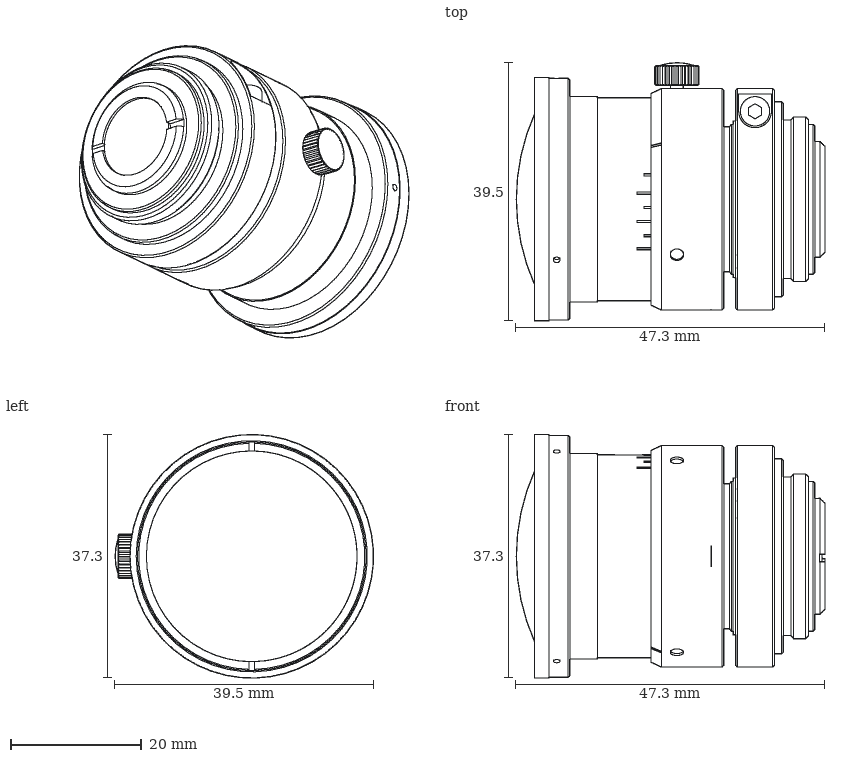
import cadquery as cq
import math

rim_x = 2.8
lens_edge_x = 9.2
rim_step_x = 5.0
flange_end_x = 8.25
barrel_step_x = 12.45
body_x = 20.6
body_cone_end_x = 22.2
body_end_x = 31.75
neck_cone_x = 32.6
collar_x = 33.2
clamp_x = 33.55
clamp_end_x = 39.53
hub_end_x = 40.9
thread_x = 42.05
thread_end_x = 44.75
pilot_end_x = 45.7
length = 47.3

rim_d = 37.3
rim_r = rim_d / 2
flange_r = 18.55
front_barrel_r = 15.75
rear_barrel_r = 15.55
body_front_r = 16.2
body_r = 16.95
neck_r = 11.1
shoulder_r = 23.0 / 2
collar_r = 12.0
hub_r = 14.95
relief_r = 12.15
thread_r = 12.62
pilot_r = 11.5
tail_r = 17.8 / 2
tail_bore_r = 12.5 / 2

edge = 0.3
thread_edge = 0.43
tail_chamfer = 0.8

lens_r = 16.1
ring_outer_r = 17.3
rim_bore_r = 17.5
rim_bevel = 0.2
ring_face_x = rim_x + rim_bevel
ring_cone_end_x = 3.8
front_notch_width = 0.85
ball_r = 32.0

tail_bore_depth = 0.45
tail_slot_width = 1.2
tail_slot_depth = 0.9
tail_slot_angle = 2.0

hole_angles = (60, 180, 300)
knob_angle = 180
small_hole_x = 6.2
small_hole_d = 1.0
small_hole_depth = 0.95
screw_hole_x = 24.6
screw_hole_d = 2.05
screw_hole_depth = 0.4

knob_d = 6.8
knob_base_y = 17.45
knob_shoulder_y = 20.45
overall_width = 39.55
knob_top_y = overall_width - rim_r
knob_dome_r = 2.7
knob_edge = 0.2
stem_d = 2.0
tooth_count = 36
tooth_depth = 0.25

clamp_screw_x = (clamp_x + clamp_end_x) / 2
clamp_screw_y = 13.47
pocket_floor_z = 5.3
pocket_width = 5.0
screw_head_d = 4.5
screw_head_height = 2.5
screw_head_round = 0.43
hex_flats = 2.0
hex_depth = 1.2

recess_d = 4.5
recess_r = 13.45
recess_angle = 37
recess_depth = 2.85

mark_width = 0.35
mark_depth = 0.1
long_mark_angles = (3.5, -12.6, -29.2)
short_mark_angles = (14.0, -4.6, -21.0)
long_mark_x = 18.5
short_mark_x = 19.57
index_angles = (30, 210)

side_mark_x = 29.85
side_mark_width = 0.1
side_mark_depth = 0.07


def lens_sag(radius):
    """Depth of the spherical lens surface below its tip."""
    return ball_r - math.sqrt(ball_r**2 - radius**2)


def make_barrel():
    """All turned surfaces, as one profile revolved about X."""
    half_r = lens_r / 2
    profile = (
        cq.Workplane("XY")
        .moveTo(0, 0)
        .threePointArc((lens_sag(half_r), half_r), (lens_sag(lens_r), lens_r))
        .lineTo(ring_cone_end_x, lens_r)
        .lineTo(ring_face_x, ring_outer_r)
        .lineTo(ring_face_x, rim_bore_r)
        .lineTo(rim_x, rim_bore_r + rim_bevel)
        .lineTo(rim_x, rim_r)
        .lineTo(rim_step_x, rim_r)
        .lineTo(rim_step_x, flange_r)
        .lineTo(flange_end_x - edge, flange_r)
        .lineTo(flange_end_x, flange_r - edge)
        .lineTo(flange_end_x, front_barrel_r)
        .lineTo(barrel_step_x, front_barrel_r)
        .lineTo(barrel_step_x, rear_barrel_r)
        .lineTo(body_x, rear_barrel_r)
        .lineTo(body_x, body_front_r)
        .lineTo(body_cone_end_x, body_r)
        .lineTo(body_end_x - edge, body_r)
        .lineTo(body_end_x, body_r - edge)
        .lineTo(body_end_x, neck_r)
        .lineTo(neck_cone_x, neck_r)
        .lineTo(neck_cone_x + edge, shoulder_r)
        .lineTo(collar_x, shoulder_r)
        .lineTo(collar_x, collar_r)
        .lineTo(clamp_x, collar_r)
        .lineTo(clamp_x, body_r - edge)
        .lineTo(clamp_x + edge, body_r)
        .lineTo(clamp_end_x - edge, body_r)
        .lineTo(clamp_end_x, body_r - edge)
        .lineTo(clamp_end_x, hub_r)
        .lineTo(hub_end_x - edge, hub_r)
        .lineTo(hub_end_x, hub_r - edge)
        .lineTo(hub_end_x, relief_r)
        .lineTo(thread_x, relief_r)
        .lineTo(thread_x + thread_edge, thread_r)
        .lineTo(thread_end_x - thread_edge, thread_r)
        .lineTo(thread_end_x, thread_r - thread_edge)
        .lineTo(thread_end_x, pilot_r)
        .lineTo(pilot_end_x - edge, pilot_r)
        .lineTo(pilot_end_x, pilot_r - edge)
        .lineTo(pilot_end_x, tail_r)
        .lineTo(length - tail_chamfer, tail_r)
        .lineTo(length, tail_r - tail_chamfer)
        .lineTo(length, tail_bore_r)
        .lineTo(length - tail_bore_depth, tail_bore_r)
        .lineTo(length - tail_bore_depth, 0)
        .close()
    )
    return profile.revolve(360, (0, 0, 0), (1, 0, 0))


def about_axis(shape, angle):
    return shape.rotate((0, 0, 0), (1, 0, 0), angle)


def front_notches():
    """Pair of spanner notches, top and bottom, in the front retaining ring."""
    depth = ring_cone_end_x - ring_face_x
    height = rim_bore_r - lens_r
    notch = cq.Workplane("XY").box(depth, front_notch_width, height, centered=(False, True, False))
    notch = notch.translate((ring_face_x, 0, lens_r))
    return notch.union(about_axis(notch, 180))


def tail_slots():
    """Spanner slots across the rear retaining ring, outside its bore."""
    slot = cq.Workplane("XY").box(
        tail_slot_depth, 2 * tail_r, tail_slot_width, centered=(False, True, True)
    )
    core = cq.Workplane("YZ").circle(tail_bore_r).extrude(tail_slot_depth)
    slots = slot.cut(core).translate((length - tail_slot_depth, 0, 0))
    return about_axis(slots, tail_slot_angle)


def radial_hole(x, diameter, depth, surface_r, angle):
    """Blind hole drilled inwards to the given depth below the surface."""
    drill = (
        cq.Workplane("XZ", origin=(x, 0, 0))
        .workplane(offset=surface_r - depth)
        .circle(diameter / 2)
        .extrude(2 * depth)
    )
    return about_axis(drill, -angle)


def make_knob():
    """Knurled thumb screw with a domed top and a stem running into the body."""
    knob_r = knob_d / 2
    outline = (
        cq.Workplane("XY")
        .moveTo(0, body_r - screw_hole_depth)
        .lineTo(stem_d / 2, body_r - screw_hole_depth)
        .lineTo(stem_d / 2, knob_base_y)
        .lineTo(knob_r - knob_edge, knob_base_y)
        .lineTo(knob_r, knob_base_y + knob_edge)
        .lineTo(knob_r, knob_shoulder_y - knob_edge)
        .lineTo(knob_r - knob_edge, knob_shoulder_y)
        .lineTo(knob_dome_r, knob_shoulder_y)
    )
    dome_height = knob_top_y - knob_shoulder_y
    dome_ball_r = (knob_dome_r**2 + dome_height**2) / (2 * dome_height)
    mid_r = knob_dome_r / 2
    mid_y = knob_top_y - dome_ball_r + math.sqrt(dome_ball_r**2 - mid_r**2)
    outline = outline.threePointArc((mid_r, mid_y), (0, knob_top_y)).close()
    knob = outline.revolve(360, (0, 0, 0), (0, 1, 0))
    half_pitch = math.pi / tooth_count
    tooth_points = []
    for step in range(2 * tooth_count):
        radius = knob_r - tooth_depth * (step % 2)
        angle = step * half_pitch
        tooth_points.append((radius * math.cos(angle), radius * math.sin(angle)))
    toothed_bar = (
        cq.Workplane("XZ", origin=(0, knob_top_y, 0))
        .polyline(tooth_points)
        .close()
        .extrude(knob_top_y)
    )
    return knob.intersect(toothed_bar).translate((screw_hole_x, 0, 0))


def clamp_pocket():
    """Flat-floored pocket, round around the screw and open towards +Y."""
    base = cq.Workplane("XY", origin=(clamp_screw_x, clamp_screw_y, pocket_floor_z))
    round_end = base.circle(pocket_width / 2).extrude(body_r)
    reach = body_r - clamp_screw_y
    open_end = base.center(0, reach / 2).rect(pocket_width, reach).extrude(body_r)
    return round_end.union(open_end)


def make_clamp_screw():
    """Socket head of the clamp screw, standing on the pocket floor."""
    head = (
        cq.Workplane("XY", origin=(clamp_screw_x, clamp_screw_y, pocket_floor_z))
        .circle(screw_head_d / 2)
        .extrude(screw_head_height)
        .faces(">Z")
        .edges()
        .fillet(screw_head_round)
    )
    hex_corners = hex_flats / math.cos(math.radians(30))
    socket = (
        cq.Workplane("XY")
        .polygon(6, hex_corners)
        .extrude(hex_depth)
        .rotate((0, 0, 0), (0, 0, 1), 30)
        .translate((clamp_screw_x, clamp_screw_y, pocket_floor_z + screw_head_height - hex_depth))
    )
    return head.cut(socket)


def clamp_recess():
    """Round recess beside the collar, whose surface is left as the recess floor."""
    angle = math.radians(recess_angle)
    bore = (
        cq.Workplane("YZ", origin=(clamp_x, 0, 0))
        .center(-recess_r * math.cos(angle), recess_r * math.sin(angle))
        .circle(recess_d / 2)
        .extrude(recess_depth)
    )
    collar = cq.Workplane("YZ").circle(collar_r).extrude(length)
    return bore.cut(collar)


def scale_mark(start_x, angle):
    """Engraved line on the rear barrel, ending at the body."""
    mark = cq.Workplane("XY").box(
        body_x - start_x, mark_width, 2 * mark_depth, centered=(False, True, True)
    )
    return about_axis(mark.translate((start_x, 0, rear_barrel_r)), -angle)


def index_mark(angle):
    """Engraved line along the conical front edge of the body."""
    mark = (
        cq.Workplane("XZ")
        .moveTo(body_x, body_front_r - mark_depth)
        .lineTo(body_cone_end_x, body_r - mark_depth)
        .lineTo(body_cone_end_x, body_r + mark_depth)
        .lineTo(body_x, body_front_r + mark_depth)
        .close()
        .extrude(mark_width / 2, both=True)
    )
    return about_axis(mark, -angle)


def side_mark():
    mark = cq.Workplane("XY").box(side_mark_width, 2 * side_mark_depth, body_r)
    return mark.translate((side_mark_x, -body_r, 0))


result = make_barrel().cut(front_notches()).cut(tail_slots())

for hole_angle in hole_angles:
    result = result.cut(
        radial_hole(small_hole_x, small_hole_d, small_hole_depth, flange_r, hole_angle)
    )
    if hole_angle != knob_angle:
        result = result.cut(
            radial_hole(screw_hole_x, screw_hole_d, screw_hole_depth, body_r, hole_angle)
        )

for mark_angle in long_mark_angles:
    result = result.cut(scale_mark(long_mark_x, mark_angle))
for mark_angle in short_mark_angles:
    result = result.cut(scale_mark(short_mark_x, mark_angle))
for mark_angle in index_angles:
    result = result.cut(index_mark(mark_angle))

result = result.cut(side_mark()).cut(clamp_recess())
result = result.union(make_knob())
result = result.cut(clamp_pocket()).union(make_clamp_screw())